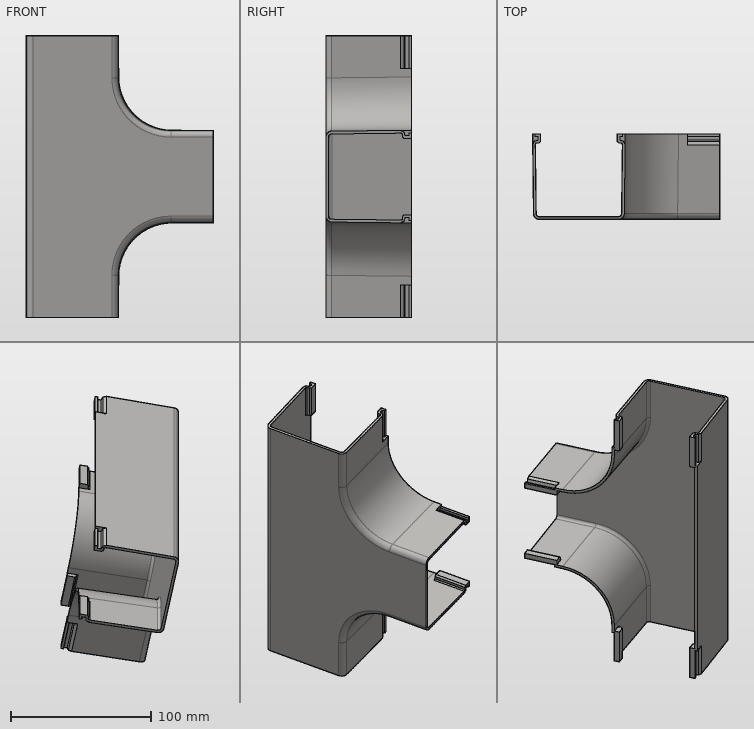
import cadquery as cq


LENGTH = 201.0
REACH = 133.7
DEPTH = 61.1
WIDTH = 66.1

WALL = 2.0
DRAFT_INSET = 0.7
BEND_RADIUS = 38.0
EDGE_RADIUS = 4.2

LIP_LENGTH = 23.3
LIP_THICKNESS = 2.0
LIP_INSET = 3.8
SHOULDER_DROP = 6.6
LIP_ROOT_DROP = 7.8
SHOULDER_SLOPE = 1.2
FOOT_FLARE = 0.6
STOP_LENGTH = 1.6
LIP_LEAN = DRAFT_INSET * LIP_ROOT_DROP / DEPTH

OVERRUN = 10.0


def tee_plan(inset, radius, y):
    """Wire of the tee outline at height y, with its walls moved inward by inset."""
    end_z = LENGTH / 2 + OVERRUN
    end_x = REACH + OVERRUN
    trunk_x = WIDTH - inset
    branch_z = WIDTH / 2 - inset
    bend_x = trunk_x + radius
    bend_z = branch_z + radius
    middle = radius * 0.5**0.5
    outline = (
        cq.Workplane("XZ", origin=(0, y, 0))
        .moveTo(inset, -end_z)
        .lineTo(trunk_x, -end_z)
        .lineTo(trunk_x, -bend_z)
        .threePointArc((bend_x - middle, middle - bend_z), (bend_x, -branch_z))
        .lineTo(end_x, -branch_z)
        .lineTo(end_x, branch_z)
        .lineTo(bend_x, branch_z)
        .threePointArc((bend_x - middle, bend_z - middle), (trunk_x, bend_z))
        .lineTo(trunk_x, end_z)
        .lineTo(inset, end_z)
        .close()
    )
    return outline.val()


def drafted_tee(offset, edge_radius):
    """Solid tee lying inside the outer surface by offset, rounded along its lowest edges."""
    radius = BEND_RADIUS + offset
    rim = tee_plan(offset, radius, DEPTH)
    plate = tee_plan(offset + DRAFT_INSET, radius, offset)
    solid = cq.Workplane(cq.Solid.makeLoft([plate, rim], True))
    return solid.faces("<Y").edges().fillet(edge_radius)


def block(x_range, y_range, z_range):
    """Box between two limits on each axis."""
    lows, highs = zip(x_range, y_range, z_range)
    size = [high - low for low, high in zip(lows, highs)]
    return cq.Workplane("XY").box(*size, centered=False).translate(lows)


def lip_outer_side():
    """Hooked side of the lip facing outward, foot first.

    Points are (distance inward from the outer wall face, Y).
    """
    hook_tip = LIP_INSET - LIP_THICKNESS
    hook_under = DEPTH - LIP_THICKNESS
    shoulder_bottom = DEPTH - SHOULDER_DROP
    return [
        (LIP_LEAN, DEPTH - LIP_ROOT_DROP),
        (SHOULDER_SLOPE, shoulder_bottom + SHOULDER_SLOPE),
        (LIP_INSET, shoulder_bottom + LIP_THICKNESS),
        (LIP_INSET, hook_under),
        (hook_tip, hook_under),
        (hook_tip, DEPTH),
    ]


def lip_inner_side():
    """Side of the lip facing into the channel, rim first, as (distance inward, Y) points."""
    web_inner = LIP_INSET + LIP_THICKNESS
    shoulder_bottom = DEPTH - SHOULDER_DROP
    return [
        (web_inner, DEPTH),
        (web_inner, shoulder_bottom + SHOULDER_SLOPE),
        (web_inner - SHOULDER_SLOPE, shoulder_bottom),
        (WALL + FOOT_FLARE, shoulder_bottom),
        (WALL + LIP_LEAN, DEPTH - LIP_ROOT_DROP),
    ]


def rim_bars(section, setback, length):
    """Bars of one section along both walls of each open end, setback from that end."""
    bars = []
    far_section = [(WIDTH - inward, y) for inward, y in section]
    for points in (section, far_section):
        for start_z in (-LENGTH / 2 + setback, LENGTH / 2 - setback - length):
            outline = cq.Workplane("XY", origin=(0, 0, start_z)).polyline(points).close()
            bars.append(outline.extrude(length))
    for side in (-1, 1):
        points = [(y, side * (WIDTH / 2 - inward)) for inward, y in section]
        start_x = REACH - setback - length
        outline = cq.Workplane("YZ", origin=(start_x, 0, 0)).polyline(points).close()
        bars.append(outline.extrude(length))
    return bars


def rim_notches():
    """Blocks that clear the plain rim where the lips go."""
    notch_y = (DEPTH - LIP_ROOT_DROP, DEPTH)
    trunk_x = (0, WIDTH)
    branch_z = (-WIDTH / 2, WIDTH / 2)
    end_z = LENGTH / 2
    lip_z = end_z - LIP_LENGTH
    return [
        block(trunk_x, notch_y, (-end_z, -lip_z)),
        block(trunk_x, notch_y, (lip_z, end_z)),
        block((REACH - LIP_LENGTH, REACH), notch_y, branch_z),
    ]


shell = drafted_tee(0, EDGE_RADIUS).cut(drafted_tee(WALL, EDGE_RADIUS - WALL))
envelope = block((0, REACH), (0, DEPTH), (-LENGTH / 2, LENGTH / 2))
result = shell.intersect(envelope)

for notch in rim_notches():
    result = result.cut(notch)
lip_section = lip_outer_side() + lip_inner_side()
for lip in rim_bars(lip_section, 0, LIP_LENGTH):
    result = result.union(lip)

mid_wall = WALL / 2
stop_section = [(mid_wall, DEPTH - LIP_ROOT_DROP), (mid_wall, DEPTH)] + lip_inner_side()
for stop in rim_bars(stop_section, LIP_LENGTH, STOP_LENGTH):
    result = result.union(stop)